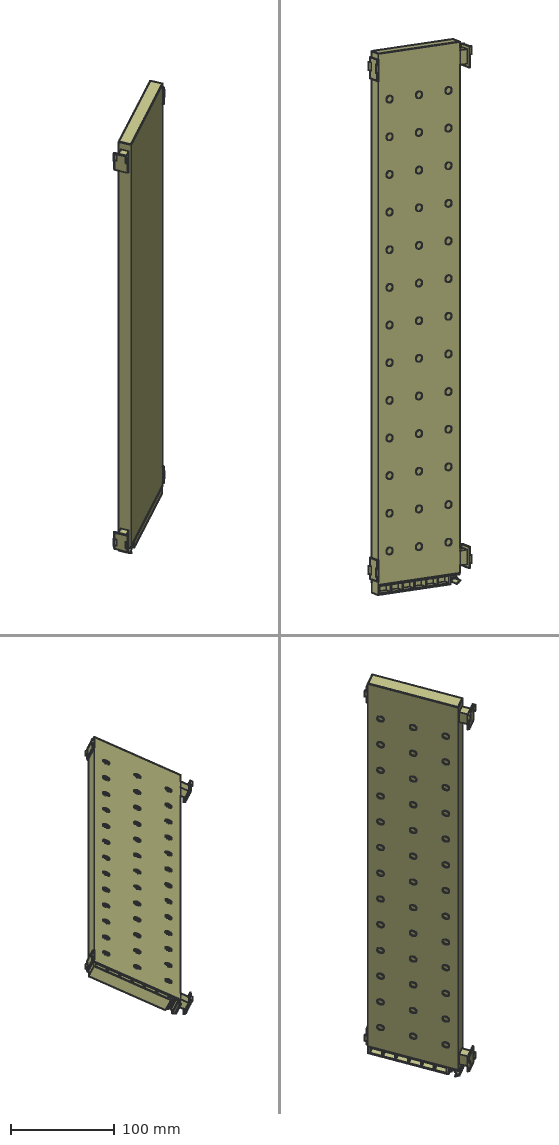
import cadquery as cq

bracket_width = 15.0
bracket_overhang = 1.0
panel_thickness = bracket_width - 2 * bracket_overhang
panel_front = -41.5
panel_back = 51.0
panel_top = 269.5
panel_bottom = -258.5
panel_mid_y = (panel_front + panel_back) / 2
panel_top_chamfer = 0.5

dimple_diameter = 7.0
dimple_depth = 1.0
dimple_columns = 3
dimple_rows = 13
dimple_column_pitch = 33.5
dimple_row_span = 448.5
dimple_row_pitch = dimple_row_span / (dimple_rows - 1)
dimple_mid_z = -2.0

foot_thickness = 12.0
foot_cap_height = 1.5
foot_bottom = -269.0
foot_length = 82.5
pocket_count = 6
pocket_end_wall = 2.0
pocket_rib = 1.35
pocket_floor = 1.5
pocket_depth = 7.5

hook_sheet = 0.5
hook_root_y = -37.0
hook_tip_y = -42.5
hook_tip_z = -266.0
hook_end_y = -38.0
hook_end_z = -269.5
hook_bend_y = -39.0
hook_bend_z = -263.5
tab_y = -34.5
tab_height = 3.0

plate_height = 21.0
plate_thickness = 1.5
plate_chamfer = 1.0
stem_width = 8.0
stem_height = 14.5
stem_length = 9.5
lip_height = 8.0
lip_rise = 1.35
lip_foot_width = 3.0
lip_crest_width = 1.0
upper_bracket_z = 252.5
lower_bracket_z = -244.5
lip_shift = 1.5
high_lip_shift = (plate_height - lip_height) / 2

foot_cap_bottom = panel_bottom - foot_cap_height


def block(size_x, y_start, y_end, z_start, z_end):
    """Box centred on X = 0 between two Y and two Z limits."""
    return (
        cq.Workplane("XY")
        .box(size_x, y_end - y_start, z_end - z_start)
        .translate((0, (y_start + y_end) / 2, (z_start + z_end) / 2))
    )


def make_board():
    """Plain board with its grid of shallow dimples."""
    board = block(panel_thickness, panel_front, panel_back, panel_bottom, panel_top)
    board = board.faces(">Z").edges().chamfer(panel_top_chamfer)
    dimples = (
        cq.Workplane("YZ", origin=(-panel_thickness / 2, panel_mid_y, dimple_mid_z))
        .rarray(dimple_column_pitch, dimple_row_pitch, dimple_columns, dimple_rows)
        .circle(dimple_diameter / 2)
        .extrude(dimple_depth)
    )
    return board.cut(dimples)


def make_foot():
    """Cap plate along the whole board and the pocketed strip below it."""
    cap = block(foot_thickness, panel_front, panel_back, foot_cap_bottom, panel_bottom)
    strip = block(foot_thickness, panel_back - foot_length, panel_back, foot_bottom, foot_cap_bottom)
    pocket_pitch = (foot_length - 2 * pocket_end_wall + pocket_rib) / pocket_count
    pocket_shift = pocket_depth - foot_thickness
    for index in range(pocket_count):
        pocket_end = panel_back - pocket_end_wall - index * pocket_pitch
        pocket_start = pocket_end - pocket_pitch + pocket_rib
        pocket = block(foot_thickness, pocket_start, pocket_end, foot_bottom + pocket_floor, foot_cap_bottom)
        strip = strip.cut(pocket.translate((pocket_shift, 0, 0)))
    return cap.union(strip)


def make_hook():
    """Sheet that curves down to a forward tip and folds back, and a short tab behind it."""
    hook = (
        cq.Workplane("YZ", origin=(-foot_thickness / 2, 0, 0))
        .moveTo(hook_root_y, foot_cap_bottom)
        .threePointArc((hook_bend_y, hook_bend_z), (hook_tip_y, hook_tip_z))
        .lineTo(hook_end_y, hook_end_z)
        .lineTo(hook_end_y + hook_sheet, hook_end_z + hook_sheet)
        .lineTo(hook_tip_y + 2 * hook_sheet, hook_tip_z)
        .threePointArc((hook_bend_y + hook_sheet, hook_bend_z), (hook_root_y + hook_sheet, foot_cap_bottom))
        .close()
        .extrude(foot_thickness)
    )
    tab = block(foot_thickness, tab_y, tab_y + hook_sheet, foot_cap_bottom - tab_height, foot_cap_bottom)
    return hook.union(tab)


def make_panel():
    return make_board().union(make_foot()).union(make_hook())


def make_lips(lip_mid_z):
    """Two lips on a plate whose outer face is Y = 0; they rise toward -Y."""
    half = bracket_width / 2
    lip = (
        cq.Workplane("XY", origin=(0, 0, lip_mid_z - lip_height / 2))
        .polyline([
            (half, plate_thickness),
            (half, -lip_rise),
            (half - lip_crest_width, -lip_rise),
            (half - lip_foot_width, 0),
            (half - lip_foot_width, plate_thickness),
        ])
        .close()
        .extrude(lip_height)
    )
    return lip.union(lip.mirror("YZ"))


def make_bracket(lip_mid_z, has_stem):
    """Bracket facing -Y, with the outer face of its plate on Y = 0 and centred on Z = 0."""
    bracket = block(bracket_width, 0, plate_thickness, -plate_height / 2, plate_height / 2)
    bracket = bracket.faces("<Y").edges("|Z").chamfer(plate_chamfer)
    bracket = bracket.union(make_lips(lip_mid_z))
    if has_stem:
        stem_end = plate_thickness + stem_length
        stem = block(stem_width, plate_thickness, stem_end, -stem_height / 2, stem_height / 2)
        bracket = bracket.union(stem)
    return bracket


def make_front_bracket(mid_z, shift):
    face_y = panel_front - stem_length - plate_thickness
    return make_bracket(shift, True).translate((0, face_y, mid_z))


def make_rear_bracket(mid_z, shift):
    face_y = panel_back + plate_thickness
    return make_bracket(shift, False).mirror("XZ").translate((0, face_y, mid_z))


panel = make_panel()
front_places = [(upper_bracket_z, high_lip_shift), (lower_bracket_z, -lip_shift)]
rear_places = [(upper_bracket_z, lip_shift), (lower_bracket_z, -lip_shift)]
front_brackets = [make_front_bracket(mid_z, shift) for mid_z, shift in front_places]
rear_brackets = [make_rear_bracket(mid_z, shift) for mid_z, shift in rear_places]

result = cq.Compound.makeCompound(
    [panel.val()] + [bracket.val() for bracket in front_brackets + rear_brackets]
)